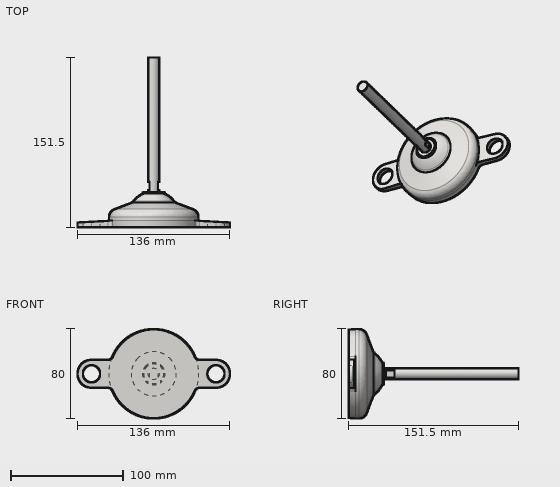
import cadquery as cq
import math


underside_radius = 39.5
rim_radius = 40.0
skirt_height = 6.2
shoulder_fillet = 7.5
neck_radius = 19.8
neck_height = 22.0
dome_radius = 18.2
dome_height = 23.3
seat_radius = 9.5
seat_height = 30.1
cone_drop_ratio = 0.38
cone_foot_height = neck_height - (rim_radius - neck_radius) * cone_drop_ratio
dome_curvature_radius = 21.2

ear_tip_x = 68.0
ear_radius = 12.5
ear_hole_radius = 7.5
ear_tip_thickness = 4.4
ear_root_thickness = 5.9
ear_junction_fillet = 4.2
ear_center_x = ear_tip_x - ear_radius

edge_search_reach = 1.0
box_margin = 0.2

stem_radius = 5.0
stem_end = 151.5
collar_radius = 10.0
collar_widest_height = 30.9
collar_top_radius = 8.8
collar_top = 31.5
flat_half_width = 4.0
flat_start = 33.3
flat_end = 40.6


def turned(profile):
    """Revolve a radius-height profile about the Y axis."""
    return profile.close().revolve(360, (0, 0, 0), (0, 1, 0))


def make_ear(side):
    """Ear on the +X (side = 1) or -X (side = -1) side, thinning towards its tip."""
    side_profile = (
        cq.Workplane("XY")
        .polyline([
            (0, 0),
            (side * ear_tip_x, 0),
            (side * ear_tip_x, ear_tip_thickness),
            (side * rim_radius, ear_root_thickness),
            (0, ear_root_thickness),
        ])
        .close()
        .extrude(ear_radius, both=True)
    )
    outline = (
        cq.Workplane("XZ")
        .moveTo(0, -ear_radius)
        .lineTo(side * ear_center_x, -ear_radius)
        .threePointArc((side * ear_tip_x, 0), (side * ear_center_x, ear_radius))
        .lineTo(0, ear_radius)
        .close()
        .extrude(-skirt_height)
    )
    return side_profile.intersect(outline)


def make_skirt_with_ears():
    """Flared lower skirt with both ears blended into it and drilled."""
    skirt = turned(
        cq.Workplane("XY")
        .lineTo(underside_radius, 0)
        .lineTo(rim_radius, skirt_height)
        .lineTo(0, skirt_height)
    )
    for side in (-1, 1):
        skirt = skirt.union(make_ear(side))

    junction_x = math.sqrt(underside_radius**2 - ear_radius**2)
    junction_mid_y = ear_root_thickness / 2
    for x in (-junction_x, junction_x):
        for z in (-ear_radius, ear_radius):
            corner = cq.selectors.BoxSelector(
                (x - edge_search_reach, junction_mid_y - edge_search_reach, z - edge_search_reach),
                (x + edge_search_reach, junction_mid_y + edge_search_reach, z + edge_search_reach),
            )
            skirt = skirt.edges(corner).fillet(ear_junction_fillet)

    holes = (
        cq.Workplane("XZ")
        .pushPoints([(-ear_center_x, 0), (ear_center_x, 0)])
        .circle(ear_hole_radius)
        .extrude(-skirt_height)
    )
    return skirt.cut(holes)


def make_upper_base():
    """Rounded shoulder, cone, short neck and dome above the skirt."""
    shoulder = turned(
        cq.Workplane("XY")
        .moveTo(0, skirt_height)
        .lineTo(rim_radius, skirt_height)
        .lineTo(rim_radius, cone_foot_height)
        .lineTo(neck_radius, neck_height)
        .lineTo(0, neck_height)
    )
    shoulder_edge = cq.selectors.BoxSelector(
        (-rim_radius - box_margin, cone_foot_height - box_margin, -rim_radius - box_margin),
        (rim_radius + box_margin, cone_foot_height + box_margin, rim_radius + box_margin),
        boundingbox=True,
    )
    shoulder = shoulder.edges(shoulder_edge).fillet(shoulder_fillet)
    dome = turned(
        cq.Workplane("XY")
        .moveTo(0, neck_height)
        .lineTo(neck_radius, neck_height)
        .lineTo(dome_radius, dome_height)
        .radiusArc((seat_radius, seat_height), -dome_curvature_radius)
        .lineTo(0, seat_height)
    )
    return shoulder.union(dome)


def make_base():
    return make_skirt_with_ears().union(make_upper_base())


def make_stem():
    """Stem with a thin collar resting on the dome and two wrench flats."""
    stem = turned(
        cq.Workplane("XY")
        .moveTo(0, seat_height)
        .lineTo(seat_radius, seat_height)
        .lineTo(collar_radius, collar_widest_height)
        .lineTo(collar_top_radius, collar_top)
        .lineTo(stem_radius, collar_top)
        .lineTo(stem_radius, stem_end)
        .lineTo(0, stem_end)
    )
    flat_length = flat_end - flat_start
    cutter_width = 2 * stem_radius
    for side in (-1, 1):
        cutter = cq.Workplane("XY").box(cutter_width, flat_length, cutter_width).translate(
            (side * (flat_half_width + cutter_width / 2), (flat_start + flat_end) / 2, 0)
        )
        stem = stem.cut(cutter)
    return stem


base = make_base()
stem = make_stem()
result = cq.Compound.makeCompound([base.solids().val(), stem.solids().val()])